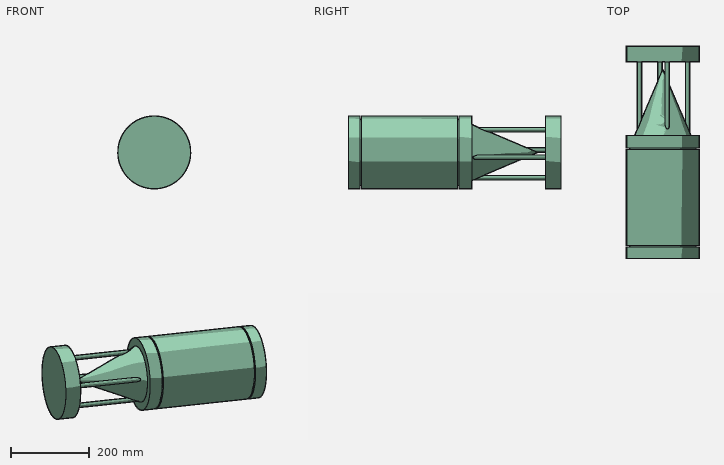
import cadquery as cq

length = 540.0
body_radius = 93.0

base_length = 29.5
groove_width = 3.0
barrel_length = 244.5
collar_length = 32.5
end_plate_length = 40.0

groove_depth = 8.0
groove_radius = body_radius - groove_depth

cone_radius = 72.0
cone_height = 168.0

rod_radius = 6.0
rod_count = 4
pattern_x = 2.0
pattern_z = -3.0
rod_offset_x = 9.0
rod_offset_z = 61.0

front_y = -length / 2
lower_groove_y = front_y + base_length
upper_groove_y = lower_groove_y + groove_width + barrel_length
collar_end_y = upper_groove_y + groove_width + collar_length
plate_y = length / 2 - end_plate_length

axis = cq.Vector(0, 1, 0)


def cylinder(radius, start_y, end_y, x=0, z=0):
    """Cylinder parallel to Y between two Y positions."""
    solid = cq.Solid.makeCylinder(radius, end_y - start_y, cq.Vector(x, start_y, z), axis)
    return cq.Workplane(obj=solid)


body = cylinder(body_radius, front_y, collar_end_y)
for groove_y in (lower_groove_y, upper_groove_y):
    groove_end_y = groove_y + groove_width
    ring = cylinder(body_radius, groove_y, groove_end_y).cut(
        cylinder(groove_radius, groove_y, groove_end_y)
    )
    body = body.cut(ring)

cone = (
    cq.Workplane("XY")
    .moveTo(0, collar_end_y)
    .lineTo(cone_radius, collar_end_y)
    .lineTo(0, collar_end_y + cone_height)
    .close()
    .revolve(360, (0, 0), (0, 1))
)

end_plate = cylinder(body_radius, plate_y, length / 2)
result = body.union(cone).union(end_plate)

offset_x, offset_z = rod_offset_x, rod_offset_z
for _ in range(rod_count):
    rod = cylinder(rod_radius, collar_end_y, plate_y, pattern_x + offset_x, pattern_z + offset_z)
    result = result.union(rod)
    offset_x, offset_z = offset_z, -offset_x